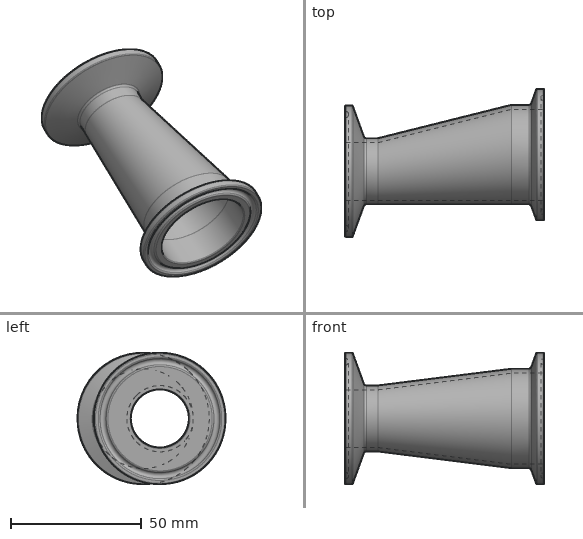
import cadquery as cq
import math

total_length = 76.2
ferrule_length = 12.65
small_tube_diameter = 25.4
small_bore_diameter = 22.1
large_tube_diameter = 38.1
large_bore_diameter = 34.8

flange_diameter = 50.4
rim_width = 3.0
clamp_angle = math.radians(20)
rim_edge_radius = 0.45
neck_fillet_radius = 0.9
bore_edge_radius = 0.4

groove_mean_radius = 21.8
groove_radius = 1.2
groove_edge_radius = 0.7
groove_half_width = 1.8

flange_radius = flange_diameter / 2
reducer_length = total_length - 2 * ferrule_length
axis_offset = (large_tube_diameter - small_tube_diameter) / 2


def gasket_groove():
    """Ring with a round bottom and rounded lips, cut into the face at X = 0."""
    wall_angle = math.asin(groove_half_width / (groove_radius + groove_edge_radius))
    arc_rise = 1 - math.cos(wall_angle)
    lip_depth = groove_edge_radius * arc_rise
    depth = lip_depth + groove_radius * arc_rise
    wall_offset = groove_radius * math.sin(wall_angle)
    lip_mid_offset = groove_half_width - groove_edge_radius * math.sin(wall_angle / 2)
    lip_mid_depth = groove_edge_radius * (1 - math.cos(wall_angle / 2))
    center = groove_mean_radius
    return (
        cq.Workplane("XY")
        .moveTo(0, center - groove_half_width)
        .threePointArc((lip_mid_depth, center - lip_mid_offset), (lip_depth, center - wall_offset))
        .threePointArc((depth, center), (lip_depth, center + wall_offset))
        .threePointArc((lip_mid_depth, center + lip_mid_offset), (0, center + groove_half_width))
        .close()
        .revolve(360, (0, 0, 0), (1, 0, 0))
    )


def ferrule(tube_diameter, bore_diameter):
    """Ferrule about the X axis with its flange face at X = 0 and its tube toward +X."""
    tube_radius = tube_diameter / 2
    bore_radius = bore_diameter / 2
    neck_x = rim_width + (flange_radius - tube_radius) * math.tan(clamp_angle)
    body = (
        cq.Workplane("XY")
        .moveTo(0, bore_radius)
        .lineTo(0, flange_radius)
        .lineTo(rim_width, flange_radius)
        .lineTo(neck_x, tube_radius)
        .lineTo(ferrule_length, tube_radius)
        .lineTo(ferrule_length, bore_radius)
        .close()
        .revolve(360, (0, 0, 0), (1, 0, 0))
    )
    body = body.edges(cq.selectors.RadiusNthSelector(1)).edges("<X").fillet(neck_fillet_radius)
    body = body.faces("<X").edges(cq.selectors.RadiusNthSelector(0)).fillet(bore_edge_radius)
    body = body.edges(cq.selectors.RadiusNthSelector(-1)).fillet(rim_edge_radius)
    return body.cut(gasket_groove())


def eccentric_cone(small_diameter, large_diameter):
    """Straight-sided loft between the inner ends of the two ferrules."""
    return (
        cq.Workplane("YZ", origin=(ferrule_length, 0, 0))
        .circle(small_diameter / 2)
        .workplane(offset=reducer_length)
        .center(axis_offset, 0)
        .circle(large_diameter / 2)
        .loft(ruled=True)
    )


small_ferrule = ferrule(small_tube_diameter, small_bore_diameter)
large_ferrule = (
    ferrule(large_tube_diameter, large_bore_diameter)
    .mirror("YZ")
    .translate((total_length, axis_offset, 0))
)
reducer = eccentric_cone(small_tube_diameter, large_tube_diameter).cut(
    eccentric_cone(small_bore_diameter, large_bore_diameter)
)
result = small_ferrule.union(reducer).union(large_ferrule)